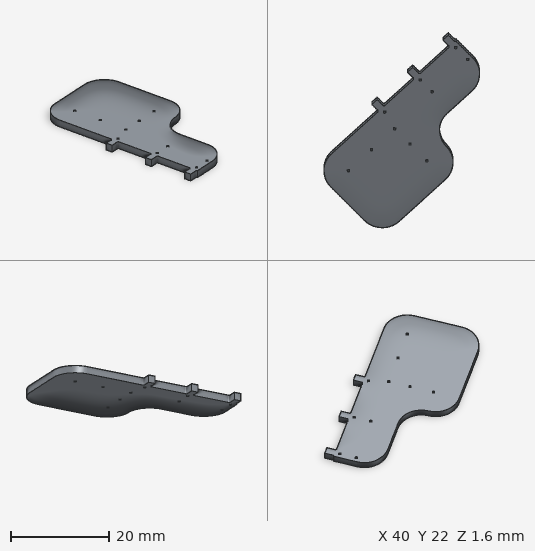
import cadquery as cq
import math

length = 40.0
tall_height = 20.0
low_height = tall_height / 2
thickness = 1.6
corner_radius = 5.0
step_x = 23.0

tab_width = 1.5
tab_length = 2.0
tab_root_radius = 0.25
tab_pitch = 10.0
tab_count = 3
last_tab_x = length - tab_width / 2 - tab_root_radius
tab_centers = [last_tab_x - i * tab_pitch for i in range(tab_count)]

hole_diameter = 0.5
tab_hole_y = 1.0
low_row_y = 4.5
column_pitch = 5.0
column_x = step_x - corner_radius
row_start_x = corner_radius
row_y = corner_radius
row_middle_x = (row_start_x + column_x) / 2


def plate():
    """Outline with rounded corners and an S-shaped step in the upper edge."""
    r = corner_radius
    mid = r * math.sqrt(0.5)
    return (
        cq.Workplane("XY")
        .moveTo(r, 0)
        .lineTo(length, 0)
        .lineTo(length, low_height - r)
        .threePointArc((length - r + mid, low_height - r + mid), (length - r, low_height))
        .lineTo(step_x + r, low_height)
        .threePointArc((step_x + r - mid, low_height + r - mid), (step_x, low_height + r))
        .threePointArc((step_x - r + mid, tall_height - r + mid), (step_x - r, tall_height))
        .lineTo(r, tall_height)
        .threePointArc((r - mid, tall_height - r + mid), (0, tall_height - r))
        .lineTo(0, r)
        .threePointArc((r - mid, r - mid), (r, 0))
        .close()
        .extrude(thickness)
    )


def tab(center_x):
    """Rectangular tab with concave fillets flaring into the lower edge."""
    half = tab_width / 2
    r = tab_root_radius
    mid = r * (1 - math.sqrt(0.5))
    overlap = r
    return (
        cq.Workplane("XY")
        .moveTo(center_x - half, -tab_length)
        .lineTo(center_x + half, -tab_length)
        .lineTo(center_x + half, -r)
        .threePointArc((center_x + half + mid, -mid), (center_x + half + r, 0))
        .lineTo(center_x + half + r, overlap)
        .lineTo(center_x - half - r, overlap)
        .lineTo(center_x - half - r, 0)
        .threePointArc((center_x - half - mid, -mid), (center_x - half, -r))
        .close()
        .extrude(thickness)
    )


def hole_positions():
    tab_holes = [(x, tab_hole_y) for x in tab_centers]
    low_panel_holes = [(x, low_row_y) for x in tab_centers[:2]]
    row_holes = [(x, row_y) for x in (row_start_x, row_middle_x, column_x)]
    column_holes = [(column_x, low_row_y + i * column_pitch) for i in (1, 2)]
    return tab_holes + low_panel_holes + row_holes + column_holes


body = plate()
for x in tab_centers:
    body = body.union(tab(x))

holes = (
    cq.Workplane("XY")
    .pushPoints(hole_positions())
    .circle(hole_diameter / 2)
    .extrude(thickness)
)
result = body.cut(holes)